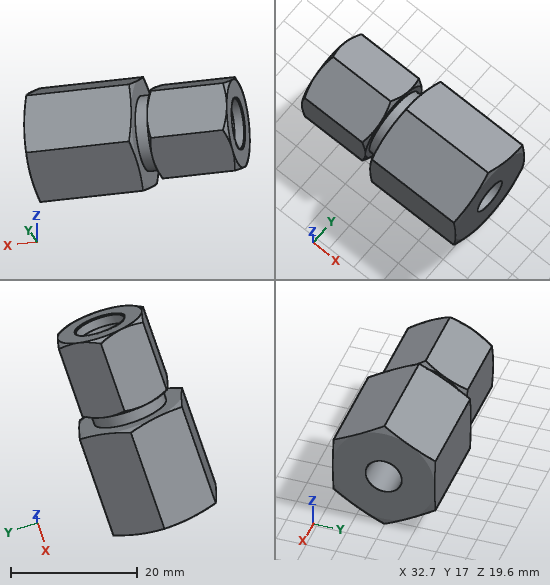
import cadquery as cq
import math

total_length = 32.7
nut_across_flats = 14.0
nut_length = 13.0
nut_chamfer_angle = 30.0
body_across_flats = 17.0
body_hex_start = 15.2
body_chamfer_angle = 15.0
neck_diameter = 12.0
tube_hole_diameter = 8.0
ring_bore_diameter = 7.95
through_diameter = 6.02
mouth_diameter = 8.37
mouth_depth = 0.2
nut_wall = 1.7
ring_length = 4.85
seat_angle = 60.0

ring_end = nut_wall + ring_length
seat_depth = (ring_bore_diameter - through_diameter) / 2 / math.tan(math.radians(seat_angle))


def cylinder(start, end, diameter):
    """Solid cylinder on the X axis between two X positions."""
    return cq.Workplane("YZ", origin=(start, 0, 0)).circle(diameter / 2).extrude(end - start)


def revolve_about_x(profile):
    """Solid of revolution about the X axis from a closed half profile."""
    return cq.Workplane("XY").polyline(profile).close().revolve(360, (0, 0, 0), (1, 0, 0))


def cone(start, end, start_diameter, end_diameter):
    """Solid truncated cone on the X axis."""
    profile = [(start, 0), (start, start_diameter / 2), (end, end_diameter / 2), (end, 0)]
    return revolve_about_x(profile)


def chamfered_hexagon(start, end, across_flats, chamfer_angle):
    """Hexagonal bar on the X axis, corners up and down, with its corners turned off at both ends."""
    flat_radius = across_flats / 2
    corner_radius = flat_radius / math.cos(math.pi / 6)
    chamfer_depth = (corner_radius - flat_radius) * math.tan(math.radians(chamfer_angle))
    hexagon = (
        cq.Workplane("YZ", origin=(start, 0, 0))
        .transformed(rotate=(0, 0, 90))
        .polygon(6, 2 * corner_radius)
        .extrude(end - start)
    )
    turned_profile = [
        (start, 0),
        (start, flat_radius),
        (start + chamfer_depth, corner_radius),
        (end - chamfer_depth, corner_radius),
        (end, flat_radius),
        (end, 0),
    ]
    return hexagon.intersect(revolve_about_x(turned_profile))


def make_nut():
    """Union nut: countersunk tube hole and one bore for both the ring and the neck."""
    nut = chamfered_hexagon(0, nut_length, nut_across_flats, nut_chamfer_angle)
    nut = nut.cut(cylinder(0, nut_wall, tube_hole_diameter))
    nut = nut.cut(cone(0, mouth_depth, mouth_diameter, tube_hole_diameter))
    return nut.cut(cylinder(nut_wall, nut_length, neck_diameter))


def make_ring():
    """Clamping ring held between the nut wall and the end of the neck."""
    ring = cylinder(nut_wall, ring_end, neck_diameter)
    return ring.cut(cylinder(nut_wall, ring_end, ring_bore_diameter))


def make_body():
    """Hexagonal body with a round neck, a conical tube seat and a through hole."""
    body = chamfered_hexagon(body_hex_start, total_length, body_across_flats, body_chamfer_angle)
    body = body.union(cylinder(ring_end, body_hex_start, neck_diameter))
    body = body.cut(cylinder(ring_end, total_length, through_diameter))
    return body.cut(cone(ring_end, ring_end + seat_depth, ring_bore_diameter, through_diameter))


nut = make_nut()
ring = make_ring()
body = make_body()

result = cq.Compound.makeCompound([nut.val(), ring.val(), body.val()])